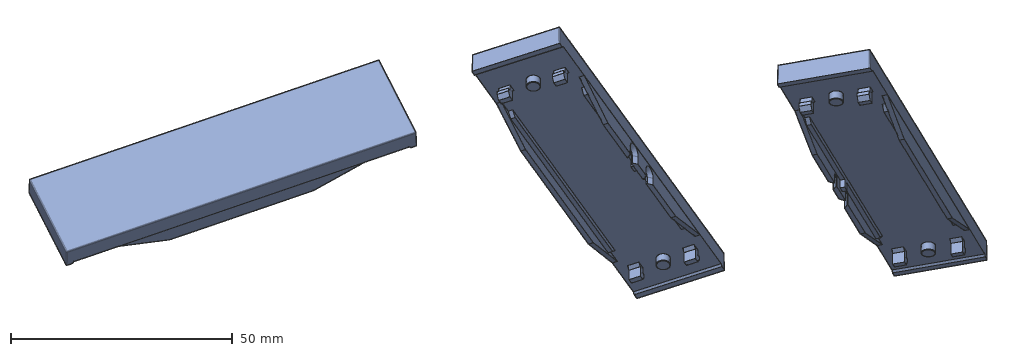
import cadquery as cq
import math

width = 22.0
length = 85.7
cover_height = 4.6
draft_angle = 1.0
edge_radius = 0.215

lip_drop = 0.5
lip_thickness = 1.5
lip_bevel = 0.4

hook_inner_x = 5.5
hook_width = 2.8
neck_inner_y = 33.2
neck_outer_y = 34.5
barb_outer_y = 35.2
gusset_leg = 0.8
barb_top = 6.2
barb_bevel_top = 7.0
hook_bottom = 8.2

boss_diameter = 3.3
boss_y = 33.7
boss_bottom = 6.7
boss_bevel = 0.13

skirt_bottom = 9.0
skirt_thickness = 1.3
skirt_top_half_length = 30.1
skirt_bottom_half_length = 17.6

ledge_width = 1.1
ledge_bottom = 5.9
ledge_top_half_length = 26.6

slots = [
    (4.0, 2.1, 6.8),
    (-3.95, 1.84, 7.0),
]
slot_bevel = 1.0

block_length = 1.7
block_bottom = 8.0

lip_bottom = cover_height + lip_drop
draft_slope = math.tan(math.radians(draft_angle))
skirt_outer_x = width / 2 - lip_drop * draft_slope
skirt_inner_x = skirt_outer_x - skirt_thickness


def extrude_along_x(points, start_x, distance):
    """Extrude a closed (Y, Z) outline towards +X from start_x."""
    return cq.Workplane("YZ", origin=(start_x, 0, 0)).polyline(points).close().extrude(distance)


def tapered_outline(top_half_length, bottom_half_length, bottom_depth):
    """(Y, Z) trapezoid hanging from the underside of the cover."""
    return [
        (-top_half_length, -cover_height),
        (top_half_length, -cover_height),
        (bottom_half_length, -bottom_depth),
        (-bottom_half_length, -bottom_depth),
    ]


def make_cover_block():
    """Drafted block with rounded top and corner edges, relieved between its end lips."""
    block = (
        cq.Workplane("XY", origin=(0, 0, -lip_bottom))
        .rect(width, length)
        .extrude(lip_bottom, taper=draft_angle)
    )
    block = block.edges("not <Z").fillet(edge_radius)
    relief_half_length = length / 2 - lip_thickness
    relief = extrude_along_x(
        tapered_outline(relief_half_length - lip_bevel, relief_half_length, lip_bottom),
        -width / 2,
        width,
    )
    return block.cut(relief)


def make_hook(side_x, side_y):
    outline = [
        (neck_inner_y - gusset_leg, -cover_height),
        (neck_outer_y, -cover_height),
        (neck_outer_y, -barb_top),
        (barb_outer_y, -barb_top),
        (barb_outer_y, -barb_bevel_top),
        (neck_outer_y, -hook_bottom),
        (neck_inner_y, -hook_bottom),
        (neck_inner_y, -cover_height - gusset_leg),
    ]
    points = [(side_y * y, z) for y, z in outline]
    start_x = side_x * (hook_inner_x + hook_width / 2) - hook_width / 2
    return extrude_along_x(points, start_x, hook_width)


def make_boss(side_y):
    boss = (
        cq.Workplane("XY", origin=(0, side_y * boss_y, -boss_bottom))
        .circle(boss_diameter / 2)
        .extrude(boss_bottom - cover_height)
    )
    return boss.faces("<Z").chamfer(boss_bevel)


def make_cover():
    cover = make_cover_block()
    for side_y in (-1, 1):
        cover = cover.union(make_boss(side_y))
        for side_x in (-1, 1):
            cover = cover.union(make_hook(side_x, side_y))
    return cover


def make_plain_skirt():
    """Left skirt with its inner ledge and no slots."""
    lean = (skirt_bottom - cover_height) * draft_slope
    section = [
        (-skirt_outer_x, -cover_height),
        (-skirt_inner_x, -cover_height),
        (-skirt_inner_x, -skirt_bottom),
        (-skirt_outer_x + lean, -skirt_bottom),
    ]
    wall = cq.Workplane("XZ").polyline(section).close().extrude(skirt_top_half_length, both=True)
    side_outline = tapered_outline(skirt_top_half_length, skirt_bottom_half_length, skirt_bottom)
    wall = wall.intersect(extrude_along_x(side_outline, -skirt_outer_x, skirt_thickness))

    ledge_bottom_half_length = ledge_top_half_length - (ledge_bottom - cover_height)
    ledge_outline = tapered_outline(ledge_top_half_length, ledge_bottom_half_length, ledge_bottom)
    return wall.union(extrude_along_x(ledge_outline, -skirt_inner_x, ledge_width))


def arch_outline(plane, centre_y, radius, arch_depth):
    """Round-topped outline, open at the bottom edge of the skirt."""
    return (
        plane.moveTo(centre_y - radius, -skirt_bottom)
        .lineTo(centre_y - radius, -arch_depth)
        .threePointArc((centre_y, radius - arch_depth), (centre_y + radius, -arch_depth))
        .lineTo(centre_y + radius, -skirt_bottom)
        .close()
    )


def make_slot_cutter(centre_y, outer_radius, arch_depth):
    """Slot through the skirt wall, flaring out at 45 degrees towards the outer face."""
    inner_radius = outer_radius - slot_bevel
    outer_plane = cq.Workplane("YZ", origin=(-skirt_outer_x, 0, 0))
    through = arch_outline(outer_plane, centre_y, inner_radius, arch_depth).extrude(skirt_thickness)
    outer_arch = arch_outline(outer_plane, centre_y, outer_radius, arch_depth)
    inner_plane = outer_arch.workplane(offset=slot_bevel)
    flare = arch_outline(inner_plane, centre_y, inner_radius, arch_depth).loft(ruled=True)
    return through.union(flare)


def make_block():
    return (
        cq.Workplane("XY", origin=(-skirt_inner_x + ledge_width / 2, 0, -block_bottom))
        .rect(ledge_width, block_length)
        .extrude(block_bottom - ledge_bottom)
    )


def make_left_skirt():
    skirt = make_plain_skirt().union(make_block())
    for centre_y, outer_radius, arch_depth in slots:
        skirt = skirt.cut(make_slot_cutter(centre_y, outer_radius, arch_depth))
    return skirt


def make_right_skirt():
    return make_plain_skirt().mirror("YZ")


cover = make_cover().solids()
left_skirt = make_left_skirt().solids()
right_skirt = make_right_skirt().solids()

result = cq.Compound.makeCompound([cover.val(), left_skirt.val(), right_skirt.val()])